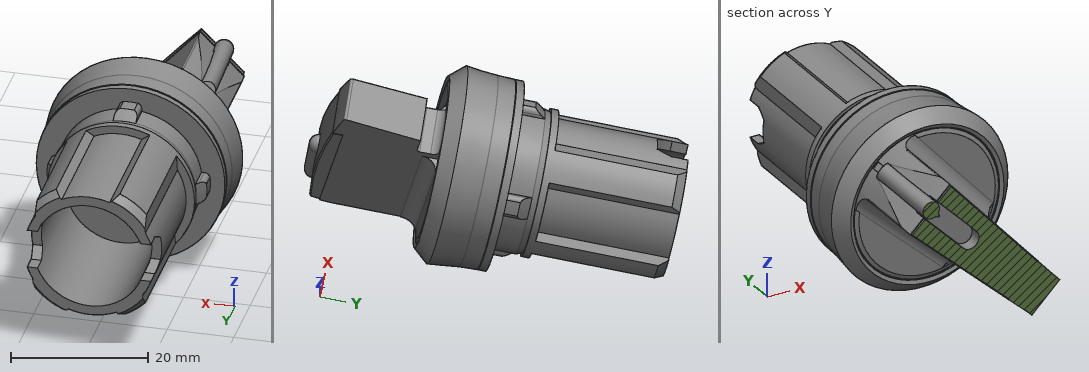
import cadquery as cq
import math

overall_length = 54.2
bezel_radius = 14.75
handle_angle = 45

barrel_rear = 25.4
barrel_radius = 9.75
bore_radius = 8.3
flange_radius = 11.0
flange_front = 4.7
flange_rear = 5.8
rib_chamfer_length = 1.35
rib_chamfer_depth = 0.9
rib_angles = [((42.2, 61.5), (34.6, 65.4)), ((113, 139), (108.5, 150))]
notch_half_width = 3.05
notch_floor_half_width = 1.85
notch_straight_depth = 2.4
notch_depth = 4.65

collar_radius = 10.8
collar_neck_radius = 10.5
collar_shoulder = 3.8
tab_radius = 12.0
tab_width = 3.4
tab_edge_radius = 0.9
tab_full_height = 2.15
tab_count = 4

bezel_rear_radius = 14.15
bezel_seam = 1.2
seam_size = 0.1
bezel_step = 3.95
bezel_step_radius = 14.25
bezel_widest = 8.55
bezel_front = 10.85
bezel_front_radius = 12.8
bezel_lip_radius = 12.2
bezel_lip_drop = 0.2
gap_floor = 10.3

disc_radius = 12.05
disc_face_radius = 11.4
disc_front = 10.8
disc_chamfer_drop = 0.2

handle_mid_half_width = 4.1
handle_taper = 2.9
handle_back_relief = 0.05
handle_back_radius = 84
handle_back_top_forward = 26.8
crown_forward = 27.5
nose_tip = (16.5, 25.8)
nose_heel = (14.4, 14.15)
nose_edge_radius = 0.4
column_end = 10.85
column_fillet = 1.3
heel_radius = 0.45
side_fillet = 2.35
cap_base = 25.2
cap_end = 11.15
cap_inset = 0.1
cap_chamfer = 0.2
corner_radius = 0.25

rod_radius = 1.4
rod_tilt = 4
rod_front_forward = overall_length - barrel_rear
rod_end = -1.6
rod_elbow = -10.55
rod_foot_forward = 12.2
rod_foot_cut = 1.1
slot_clearance = 0.135
slot_floor = 23.45

reach = 32.5
bend = 1 - math.sqrt(0.5)


def polar(radius, angle):
    turn = math.radians(angle)
    return radius * math.cos(turn), radius * math.sin(turn)


def beyond(start, end):
    """Point on the line from start to end, as far again past the end."""
    return 2 * end[0] - start[0], 2 * end[1] - start[1]


def forward_plane(forward):
    """XZ sketch plane at a forward distance; extrusion runs further forward."""
    return cq.Workplane("XZ", origin=(0, -forward, 0))


def turned(outline):
    """Solid of revolution about Y from (radius, y) points."""
    return cq.Workplane("XY").polyline(outline).close().revolve(360, (0, 0), (0, 1))


def turned_body():
    outline = [
        (0, flange_rear),
        (bore_radius, flange_rear),
        (bore_radius, barrel_rear),
        (flange_radius - rib_chamfer_depth, barrel_rear),
        (flange_radius, barrel_rear - rib_chamfer_length),
        (flange_radius, flange_front),
        (collar_neck_radius, flange_front),
        (collar_radius, collar_shoulder),
        (collar_radius, 0),
        (bezel_rear_radius, 0),
        (bezel_rear_radius, -bezel_seam),
        (bezel_rear_radius - seam_size, -bezel_seam),
        (bezel_rear_radius - seam_size, -bezel_seam - seam_size),
        (bezel_rear_radius, -bezel_seam - seam_size),
        (bezel_step_radius, -bezel_step),
        (bezel_radius, -bezel_widest),
        (bezel_front_radius, -bezel_front),
        (bezel_lip_radius, bezel_lip_drop - bezel_front),
        (bezel_lip_radius, -gap_floor),
        (disc_radius, -gap_floor),
        (disc_radius, disc_chamfer_drop - disc_front),
        (disc_face_radius, -disc_front),
        (0, -disc_front),
    ]
    return turned(outline)


def barrel_grooves():
    """Grooves that leave four ribs standing on the barrel, repeated half a turn apart."""
    first, second = rib_angles
    grooves = cq.Workplane("XY")
    for half_turn in (0, 180):
        for rib, next_rib in ((first, second), (second, [[a + 180 for a in pair] for pair in first])):
            start_foot = polar(barrel_radius, rib[1][1] + half_turn)
            end_foot = polar(barrel_radius, next_rib[1][0] + half_turn)
            start_wall = polar(flange_radius, rib[0][1] + half_turn)
            end_wall = polar(flange_radius, next_rib[0][0] + half_turn)
            middle = (rib[1][1] + next_rib[1][0]) / 2 + half_turn
            groove = (
                forward_plane(-barrel_rear)
                .moveTo(*beyond(start_foot, start_wall))
                .lineTo(*start_foot)
                .threePointArc(polar(barrel_radius, middle), end_foot)
                .lineTo(*beyond(end_foot, end_wall))
                .threePointArc(polar(2 * flange_radius, middle), beyond(start_foot, start_wall))
                .close()
                .extrude(barrel_rear - flange_rear)
            )
            grooves = grooves.add(groove)
    return grooves.combine()


def barrel_notch():
    """Rear notch crossing the barrel along X, with rounded floor corners."""
    shoulder = barrel_rear - notch_straight_depth
    floor = barrel_rear - notch_depth
    bulge_z = notch_half_width - 0.3 * (notch_half_width - notch_floor_half_width)
    bulge_y = shoulder - 0.4 * (shoulder - floor)
    return (
        cq.Workplane("YZ")
        .moveTo(barrel_rear, -notch_half_width)
        .lineTo(shoulder, -notch_half_width)
        .threePointArc((bulge_y, -bulge_z), (floor, -notch_floor_half_width))
        .lineTo(floor, notch_floor_half_width)
        .threePointArc((bulge_y, bulge_z), (shoulder, notch_half_width))
        .lineTo(barrel_rear, notch_half_width)
        .close()
        .extrude(2 * barrel_radius, both=True)
    )


def collar_tabs():
    """Round-edged tabs around the collar, sloping down to it at the rear."""
    bar = (
        cq.Workplane("XY")
        .box(2 * tab_radius, collar_shoulder, tab_width, centered=(True, False, True))
        .edges("|Y")
        .fillet(tab_edge_radius)
    )
    slope = [
        (0, 0),
        (tab_radius, 0),
        (tab_radius, tab_full_height),
        (collar_radius, collar_shoulder),
        (0, collar_shoulder),
    ]
    cross_bar = bar.rotate((0, 0, 0), (0, 1, 0), 360 / tab_count)
    return bar.union(cross_bar).intersect(turned(slope))


def half_width(along):
    return handle_mid_half_width - along * math.tan(math.radians(handle_taper))


def handle_plan(back, end, base, height, inset=0):
    """Tapered plan of the handle, raised from a forward distance."""
    corners = [
        (back, inset - half_width(back)),
        (end, inset - half_width(end)),
        (end, half_width(end) - inset),
        (back, half_width(back) - inset),
    ]
    return forward_plane(base).polyline(corners).close().extrude(height)


def back_at(forward):
    """Position of the handle's bowed back, upright where it meets the disc."""
    rise = forward - disc_front
    bow_centre = handle_back_relief + handle_back_radius - disc_radius
    return bow_centre - math.sqrt(handle_back_radius**2 - rise**2)


def handle_side():
    """Side shape of the handle: bowed back, crowned front and overhanging nose."""
    mid_forward = (disc_front + handle_back_top_forward) / 2
    return (
        cq.Workplane("XY")
        .moveTo(0, -gap_floor)
        .lineTo(back_at(disc_front), -gap_floor)
        .lineTo(back_at(disc_front), -disc_front)
        .threePointArc(
            (back_at(mid_forward), -mid_forward),
            (back_at(handle_back_top_forward), -handle_back_top_forward),
        )
        .threePointArc((0, -crown_forward), (nose_tip[0], -nose_tip[1]))
        .lineTo(nose_heel[0], -nose_heel[1])
        .lineTo(column_end + heel_radius, -nose_heel[1])
        .threePointArc(
            (column_end + bend * heel_radius, bend * heel_radius - nose_heel[1]),
            (column_end, heel_radius - nose_heel[1]),
        )
        .lineTo(column_end, -disc_front - column_fillet)
        .threePointArc(
            (column_end + bend * column_fillet, -disc_front - bend * column_fillet),
            (column_end + column_fillet, -disc_front),
        )
        .lineTo(column_end + column_fillet, -gap_floor)
        .close()
        .extrude(disc_radius, both=True)
    )


def handle():
    """Shank rising from the disc, overhanging nose, and a slightly narrower bevelled cap."""
    side = handle_side()
    root = forward_plane(gap_floor).circle(disc_radius).extrude(cap_base - gap_floor)
    overhang = handle_plan(0, nose_tip[0] + 0.55, nose_heel[1] - 2 * heel_radius, reach)
    shank = handle_plan(-disc_radius - 0.55, nose_tip[0] + 0.55, gap_floor, cap_base - gap_floor)
    shank = shank.intersect(root.union(overhang))
    shank = shank.edges("|Y").edges("<X").fillet(corner_radius).intersect(side)
    nose = handle_plan(cap_end, nose_tip[0] + 0.55, nose_heel[1], reach).intersect(side)
    nose = nose.faces(">X").edges("<Y").fillet(nose_edge_radius)
    cap = handle_plan(-disc_radius, cap_end + cap_chamfer, cap_base, reach, cap_inset)
    cap = cap.intersect(side.translate((cap_inset, 0, 0)))
    cap = cap.faces("<Y").edges().chamfer(cap_chamfer)
    return shank.union(nose).union(cap)


def side_fillets():
    """Concave fillets where the two handle sides run out onto the disc."""
    wall = handle_mid_half_width
    strip = (
        cq.Workplane("YZ")
        .moveTo(-gap_floor, 0)
        .lineTo(-gap_floor, wall + side_fillet)
        .lineTo(-disc_front, wall + side_fillet)
        .threePointArc(
            (-disc_front - bend * side_fillet, wall + bend * side_fillet),
            (-disc_front - side_fillet, wall),
        )
        .lineTo(-disc_front - side_fillet, 0)
        .close()
        .extrude(disc_radius, both=True)
        .rotate((0, 0, wall), (0, 1, wall), handle_taper)
    )
    column = cq.Workplane("XY").box(2 * column_end, 2 * reach, reach)
    back_half = column.translate((-disc_radius + column_end, 0, 0))
    limit = forward_plane(gap_floor).circle(disc_radius).extrude(reach).intersect(back_half)
    return strip.union(strip.mirror("XY")).intersect(limit)


def rod_leg(start, end):
    """Round leg of the pointer between two (along, forward) points."""
    origin = cq.Vector(start[0], -start[1], 0)
    span = cq.Vector(end[0] - start[0], start[1] - end[1], 0)
    return cq.Workplane(cq.Solid.makeCylinder(rod_radius, span.Length, origin, span))


def rod_ball(centre):
    return cq.Workplane("XY").sphere(rod_radius).translate((centre[0], -centre[1], 0))


def pointer():
    """Bent rod with round elbow and tip, its foot cut off at a slant."""
    slope = math.tan(math.radians(rod_tilt))
    tip = (rod_end, rod_front_forward - rod_radius)
    elbow = (rod_elbow, tip[1] - slope * (rod_end - rod_elbow))
    foot = (rod_elbow - slope * (elbow[1] - rod_foot_forward), rod_foot_forward)
    rod = rod_leg(elbow, tip).union(rod_leg(foot, elbow)).union(rod_ball(elbow)).union(rod_ball(tip))
    outer = foot[0] - 2 * rod_radius
    foot_cut = (
        cq.Workplane("XY")
        .moveTo(foot[0], -foot[1] + rod_foot_cut)
        .lineTo(outer, -foot[1] + rod_foot_cut)
        .lineTo(outer, -foot[1] - 2 * rod_foot_cut)
        .lineTo(foot[0], -foot[1])
        .close()
        .extrude(rod_radius * 2, both=True)
    )
    return rod.cut(foot_cut)


def pointer_slot():
    """Round-ended clearance slot for the pointer in the handle's crown."""
    radius = rod_radius + slot_clearance
    length = rod_end + disc_radius
    depth = overall_length - slot_floor
    bed = forward_plane(slot_floor).center(rod_end - length, 0).rect(2 * length, 2 * radius)
    round_end = forward_plane(slot_floor).center(rod_end, 0).circle(radius).extrude(depth)
    return bed.extrude(depth).union(round_end)


grip = handle().cut(pointer_slot()).union(side_fillets()).union(pointer())
grip = grip.rotate((0, 0, 0), (0, 1, 0), handle_angle)

body = turned_body().cut(barrel_grooves()).cut(barrel_notch()).union(collar_tabs())
result = body.union(grip)